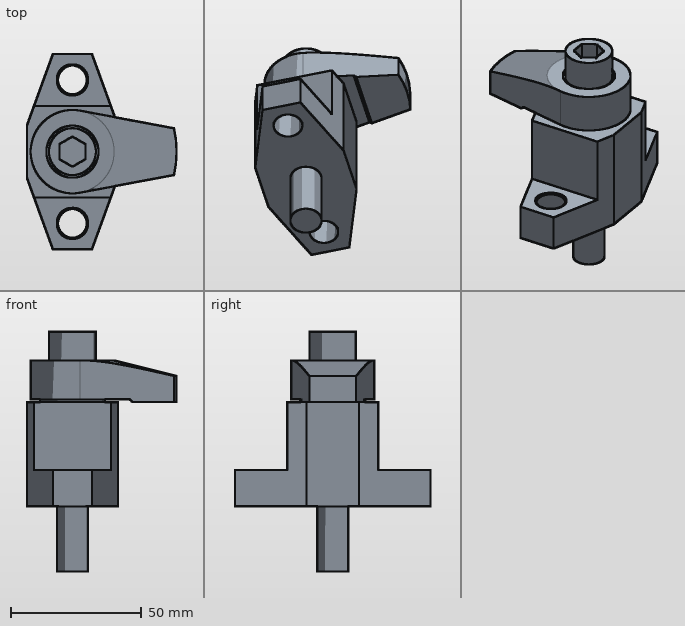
import cadquery as cq
import math


housing_width = 35.0
housing_height = 40.0
ear_span = 75.0
ear_end_width = 15.0
ear_thickness = 14.0
flank_length = 20.0
ear_hole_diameter = 11.0
ear_hole_spacing = 55.0
ear_hole_chamfer = 0.5
ear_hole_sink_angle = 90.0

arm_clearance = 1.0
head_diameter = 32.0
head_height = 15.0
collar_diameter = 25.0
nose_radius = 40.0
nose_half_width = 9.0
nose_drop = 6.0
pad_start = 22.0
recess_diameter = 20.0
recess_depth = 1.0

screw_diameter = 12.0
screw_head_diameter = 18.0
screw_head_height = 12.0
screw_tip = -25.0
socket_flats = 10.0
socket_depth = 6.0

arm_bottom = housing_height + arm_clearance
arm_top = arm_bottom + head_height
seat_level = arm_top - recess_depth
screw_top = seat_level + screw_head_height
head_radius = head_diameter / 2


def make_housing():
    side = housing_width / 2
    end = ear_end_width / 2
    reach = ear_span / 2
    flank = flank_length / 2
    outline = [
        (-end, -reach),
        (end, -reach),
        (side, -flank),
        (side, flank),
        (end, reach),
        (-end, reach),
        (-side, flank),
        (-side, -flank),
    ]
    housing = cq.Workplane("XY").polyline(outline).close().extrude(housing_height)

    ear_length = (ear_span - housing_width) / 2
    ear_center = (ear_span + housing_width) / 4
    ear_cuts = (
        cq.Workplane("XY", origin=(0, 0, ear_thickness))
        .pushPoints([(0, -ear_center), (0, ear_center)])
        .rect(housing_width, ear_length)
        .extrude(housing_height - ear_thickness)
    )

    housing = (
        housing.cut(ear_cuts)
        .faces(cq.selectors.NearestToPointSelector((0, ear_center, ear_thickness)))
        .workplane(origin=(0, 0, ear_thickness))
        .pushPoints([(0, -ear_hole_spacing / 2), (0, ear_hole_spacing / 2)])
        .cskHole(ear_hole_diameter, ear_hole_diameter + 2 * ear_hole_chamfer, ear_hole_sink_angle)
    )

    screw_hole = cq.Workplane("XY").circle(screw_diameter / 2).extrude(housing_height)
    return housing.cut(screw_hole)


def make_nose():
    corner_x = math.sqrt(nose_radius**2 - nose_half_width**2)
    corner_angle = math.atan2(nose_half_width, corner_x)
    tangent_angle = corner_angle + math.acos(head_radius / nose_radius)
    tangent_x = head_radius * math.cos(tangent_angle)
    tangent_y = head_radius * math.sin(tangent_angle)
    plan = (
        cq.Workplane("XY", origin=(0, 0, housing_height))
        .moveTo(tangent_x, -tangent_y)
        .lineTo(corner_x, -nose_half_width)
        .threePointArc((nose_radius, 0), (corner_x, nose_half_width))
        .lineTo(tangent_x, tangent_y)
        .close()
        .extrude(arm_top - housing_height)
    )

    cone = (
        cq.Workplane("XZ")
        .moveTo(0, housing_height)
        .lineTo(nose_radius, housing_height)
        .lineTo(nose_radius, arm_top - nose_drop)
        .lineTo(head_radius, arm_top)
        .lineTo(0, arm_top)
        .close()
        .revolve(360, (0, 0, 0), (0, 1, 0))
    )

    relief = (
        cq.Workplane("XZ")
        .moveTo(0, housing_height)
        .lineTo(pad_start + arm_clearance, housing_height)
        .lineTo(pad_start, arm_bottom)
        .lineTo(0, arm_bottom)
        .close()
        .extrude(head_radius, both=True)
    )
    return plan.intersect(cone).cut(relief)


def make_clamp_arm():
    head = cq.Workplane("XY", origin=(0, 0, arm_bottom)).circle(head_radius).extrude(head_height)
    collar = (
        cq.Workplane("XY", origin=(0, 0, housing_height))
        .circle(collar_diameter / 2)
        .extrude(arm_clearance)
    )
    screw_hole = (
        cq.Workplane("XY", origin=(0, 0, housing_height))
        .circle(screw_diameter / 2)
        .extrude(arm_top - housing_height)
    )
    recess = (
        cq.Workplane("XY", origin=(0, 0, seat_level))
        .circle(recess_diameter / 2)
        .extrude(recess_depth)
    )
    return head.union(make_nose()).union(collar).cut(screw_hole).cut(recess)


def make_screw():
    shank = (
        cq.Workplane("XY", origin=(0, 0, screw_tip))
        .circle(screw_diameter / 2)
        .extrude(seat_level - screw_tip)
    )
    head = (
        cq.Workplane("XY", origin=(0, 0, seat_level))
        .circle(screw_head_diameter / 2)
        .extrude(screw_head_height)
    )

    socket = (
        cq.Workplane("XY", origin=(0, 0, screw_top - socket_depth))
        .polygon(6, socket_flats, circumscribed=True)
        .extrude(socket_depth)
    )
    return shank.union(head).cut(socket)


housing = make_housing()
clamp_arm = make_clamp_arm()
screw = make_screw()

result = cq.Compound.makeCompound([housing.val(), clamp_arm.val(), screw.val()])